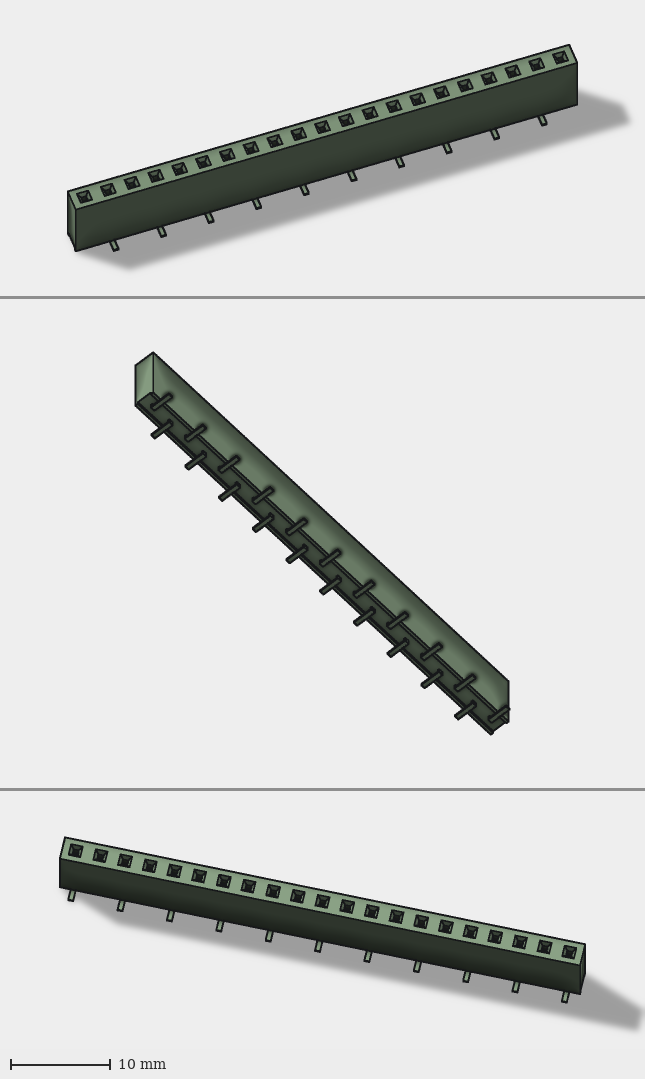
import cadquery as cq

pin_count = 21
pitch = 2.54
row_length = (pin_count - 1) * pitch

overall_width = 4.64
overall_height = 7.4
body_length = 53.54
body_width = 2.4

body_bottom = 0.2
rail_inner_width = 1.75
channel_top = 0.5

socket_mouth = 1.2
socket_throat = 0.55
funnel_depth = 0.4
well_depth = 3.0

foot_width = 0.52
foot_thickness = 0.2
post_thickness = 0.2

pin_size = 0.3
pin_recess = 1.0


def make_housing():
    """Plain housing bar with the channel running along its underside."""
    body = cq.Workplane("XY").workplane(offset=body_bottom).rect(body_width, body_length)
    body = body.extrude(overall_height - body_bottom)
    channel = cq.Workplane("XY").rect(rail_inner_width, body_length).extrude(channel_top)
    return body.cut(channel)


def make_socket(y):
    """Cavity of one socket, leaving the pin end standing on the floor of the well."""
    top = cq.Workplane("XY", origin=(0, y, overall_height))
    funnel = (
        top.rect(socket_mouth, socket_mouth)
        .workplane(offset=-funnel_depth)
        .rect(socket_throat, socket_throat)
        .loft()
    )
    well = top.rect(socket_throat, socket_throat).extrude(-well_depth)
    pin = top.workplane(offset=-pin_recess).rect(pin_size, pin_size).extrude(pin_recess - well_depth)
    return funnel.union(well).cut(pin)


def make_contact(y, side):
    """Foot and post of one contact; the foot points to -X (side = -1) or +X (side = +1)."""
    foot_tip = side * overall_width / 2
    foot_root = -side * post_thickness / 2
    foot_length = abs(foot_tip - foot_root)
    foot_centre = ((foot_tip + foot_root) / 2, y, foot_thickness / 2)
    foot = cq.Workplane("XY", origin=foot_centre).box(foot_length, foot_width, foot_thickness)
    post = cq.Workplane("XY", origin=(0, y, 0)).rect(post_thickness, foot_width).extrude(channel_top)
    return foot.union(post)


result = make_housing()
for index in range(pin_count):
    pin_y = row_length / 2 - index * pitch
    foot_side = -1 if index % 2 == 0 else 1
    result = result.cut(make_socket(pin_y))
    result = result.union(make_contact(pin_y, foot_side))